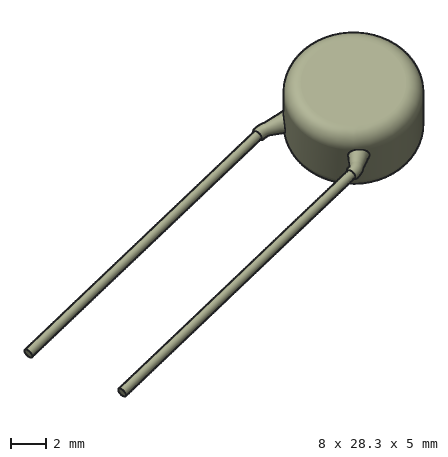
import cadquery as cq
import math

housing_diameter = 8.0
housing_height = 5.0
housing_edge_radius = 1.0

total_length = 28.32
lead_diameter = 0.6
lead_x = 3.5
lead_z = 1.3

neck_radius = 0.4
neck_taper = 0.2
neck_cone_length = 2.27
neck_tip_y = -4.28
neck_tip_length = 0.15
neck_tip_fillet = 0.08
bend_radius = 0.8
bend_angle = math.radians(38)
neck_tilt = math.radians(26)

housing_radius = housing_diameter / 2
lead_end_y = housing_radius - total_length
lead_length = neck_tip_y - lead_end_y
bend_y = neck_tip_y + neck_tip_length

lead_turns = (0, 180)
turn_axis = ((0, 0, 0), (0, 1, 0))


def bend_plane_vector(inward, along_y):
    """Vector in the plane of the lower left neck's bend."""
    return cq.Vector(inward * math.cos(neck_tilt), along_y, inward * math.sin(neck_tilt))


def bend_point(angle):
    """Point on the bend's centre line, the given angle after the straight tip."""
    bend_start = cq.Vector(-lead_x, bend_y, -lead_z)
    inward = bend_radius * (1 - math.cos(angle))
    along_y = bend_radius * math.sin(angle)
    return bend_start + bend_plane_vector(inward, along_y)


def make_neck():
    """Lower left neck: filleted tip, round bend and tapered root."""
    tip = (
        cq.Workplane("XZ", origin=(-lead_x, bend_y, -lead_z))
        .circle(neck_radius)
        .extrude(neck_tip_length)
        .faces("<Y")
        .edges()
        .fillet(neck_tip_fillet)
    )
    bend_path = cq.Edge.makeThreePointArc(
        bend_point(0), bend_point(bend_angle / 2), bend_point(bend_angle)
    )
    bend = (
        cq.Workplane("XZ", origin=(-lead_x, bend_y, -lead_z))
        .circle(neck_radius)
        .sweep(cq.Workplane(cq.Wire.assembleEdges([bend_path])))
    )
    root_radius = neck_radius + neck_taper * neck_cone_length
    root_direction = bend_plane_vector(math.sin(bend_angle), math.cos(bend_angle))
    root = cq.Solid.makeCone(
        neck_radius, root_radius, neck_cone_length, bend_point(bend_angle), root_direction
    )
    return tip.union(bend).union(cq.Workplane(root))


def make_housing():
    """Rounded disc joined with its two necks."""
    body = (
        cq.Workplane("XY")
        .circle(housing_radius)
        .extrude(housing_height / 2, both=True)
        .faces("|Z")
        .edges()
        .fillet(housing_edge_radius)
    )
    neck = make_neck()
    for turn in lead_turns:
        body = body.union(neck.rotate(*turn_axis, turn))
    return body


def make_lead(turn):
    """Straight wire that starts on the flat tip of its neck."""
    return (
        cq.Workplane("XZ", origin=(-lead_x, neck_tip_y, -lead_z))
        .circle(lead_diameter / 2)
        .extrude(lead_length)
        .rotate(*turn_axis, turn)
    )


housing = make_housing()
leads = [make_lead(turn) for turn in lead_turns]

result = cq.Compound.makeCompound([housing.solids().val(), *[lead.val() for lead in leads]])